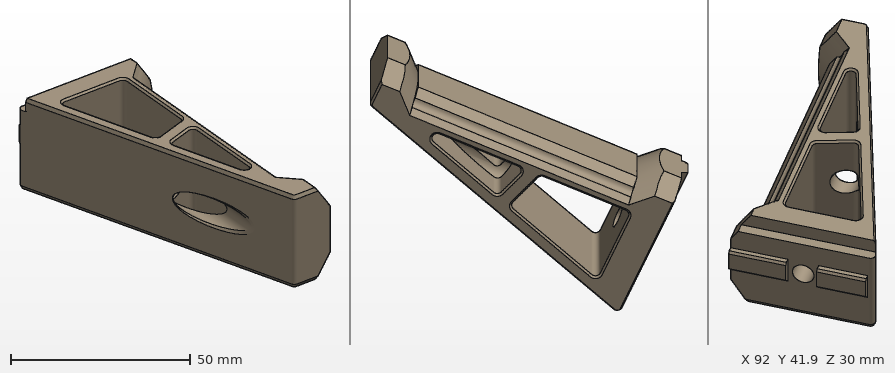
import cadquery as cq
import math

length = 90.0
height = 30.0
mid_z = height / 2
front_left_y = -42.5
front_right_y = -12.5
corner_radius = 1.5
edge_chamfer_height = 1.15
edge_chamfer_inset = 0.55

back_bevel_depth = 5.0
back_bevel_height = 7.5

step_width = 3.0
step_depth = 4.2

saddle_end = 11.5
saddle_crest_y = -4.7
saddle_crease_y = -8.84
crown_crease_y = -9.25
saddle_rim_y = -10.5
saddle_crease_depth = 2.0
ridge_bevel_y = -6.8
ridge_bevel_height = back_bevel_height * (saddle_crest_y - ridge_bevel_y) / back_bevel_depth
ridge_half_height = mid_z - back_bevel_height
groove_sag = 0.4
cutter_back_y = 15.0

wall = 3.88
window_left_x = 10.0
window_back_y = -12.5
web_thickness = 4.5
web_back_x = 40.0
window_radius = 1.5
window_chamfer = 0.6

key_depth = 2.0
key_height = 8.1
key_top_z = 19.2
key_top_chamfer = 0.65
key_spans = [(-16.7, 0.0), (-40.0, -25.7)]
hole_y = -21.2
hole_diameter = 6.3
access_diameter = 8.5
access_chamfer = 0.6

slope = (front_right_y - front_left_y) / length
slope_angle = math.atan(slope)


def front_y(x, inset=0.0):
    """Y of the sloping front at x, moved inward by a normal distance."""
    return front_left_y + slope * x + inset / math.cos(slope_angle)


def make_body():
    """Wedge with rounded front corners and tapered upper and lower edges."""
    def outline(z):
        points = [(0, 0), (0, front_left_y), (length, front_right_y), (length, 0)]
        sketch = cq.Sketch().polygon(points + points[:1])
        sketch = sketch.vertices("not >Y").fillet(corner_radius)
        return cq.Workplane("XY", origin=(0, 0, z)).placeSketch(sketch)

    taper = math.degrees(math.atan(edge_chamfer_inset / edge_chamfer_height))
    upper_z = height - edge_chamfer_height
    core = outline(edge_chamfer_height).extrude(upper_z - edge_chamfer_height)
    top = outline(upper_z).extrude(edge_chamfer_height, taper=taper)
    bottom = top.mirror("XY", (0, 0, mid_z))
    return core.union(top).union(bottom)


def bevel_back(body):
    """Bevel both long back edges over the full length."""
    upper = (
        cq.Workplane("YZ")
        .polyline([(-back_bevel_depth, height), (0, height - back_bevel_height), (0, height)])
        .close()
        .extrude(length)
    )
    return body.cut(upper).cut(upper.mirror("XY", (0, 0, mid_z)))


def cut_saddle(body):
    """Hollow the back: a ridged straight run between two diagonal, crowned ends."""
    crease_z = height - saddle_crease_depth
    lower_crease_z = height - crease_z
    ridge_z = mid_z + ridge_half_height
    shoulder_z = ridge_z + ridge_bevel_height

    def start(crease_y):
        """Profile from the lower back corner up to the lower crease."""
        plane = cq.Workplane("YZ", origin=(saddle_end, 0, 0))
        return plane.moveTo(cutter_back_y, 0).lineTo(saddle_rim_y, 0).lineTo(crease_y, lower_crease_z)

    def finish(wire):
        """Close the profile from the upper crease round the back."""
        return wire.lineTo(saddle_rim_y, height).lineTo(cutter_back_y, height).close()

    groove_mid_y = (ridge_bevel_y + saddle_crease_y) / 2 - groove_sag
    groove_mid_z = (shoulder_z + crease_z) / 2 - groove_sag
    straight = finish(
        start(saddle_crease_y)
        .threePointArc((groove_mid_y, height - groove_mid_z), (ridge_bevel_y, height - shoulder_z))
        .lineTo(saddle_crest_y, height - ridge_z)
        .lineTo(saddle_crest_y, ridge_z)
        .lineTo(ridge_bevel_y, shoulder_z)
        .threePointArc((groove_mid_y, groove_mid_z), (saddle_crease_y, crease_z))
    ).extrude(length - 2 * saddle_end)

    crowned = finish(
        start(crown_crease_y).threePointArc((saddle_crest_y, mid_z), (crown_crease_y, crease_z))
    )
    face = cq.Face.makeFromWires(crowned.wires().val())
    left = cq.Workplane(cq.Solid.extrudeLinear(face, cq.Vector(-saddle_end, saddle_end, 0)))
    right = left.mirror("YZ", (length / 2, 0, 0))
    return body.cut(straight).cut(left).cut(right)


def cut_window(body, points):
    """Cut a rounded window through the height and chamfer both rims."""
    window = cq.Workplane("XY").polyline(points).close().extrude(height)
    window = window.edges("|Z").fillet(window_radius)
    outline = window.faces("<Z").wires().val()
    flared = outline.offset2D(window_chamfer)[0]
    flare = cq.Workplane(
        cq.Solid.makeLoft([flared, outline.translate(cq.Vector(0, 0, window_chamfer))], True)
    )
    return body.cut(window).cut(flare).cut(flare.mirror("XY", (0, 0, mid_z)))


def cut_windows(body):
    """Two windows parted by a web square to the sloping front."""
    half_web_x = web_thickness / 2 / math.cos(slope_angle)

    def web_foot(x_back):
        """Point where a web side starting at x_back meets the inner front wall."""
        x = (x_back + slope * (window_back_y - front_y(0, wall))) / (1 + slope**2)
        return (x, front_y(x, wall))

    left_web_x = web_back_x - half_web_x
    right_web_x = web_back_x + half_web_x
    tip_x = (window_back_y - front_y(0, wall)) / slope
    large = [
        (window_left_x, window_back_y),
        (window_left_x, front_y(window_left_x, wall)),
        web_foot(left_web_x),
        (left_web_x, window_back_y),
    ]
    small = [(right_web_x, window_back_y), web_foot(right_web_x), (tip_x, window_back_y)]
    return cut_window(cut_window(body, large), small)


def cut_step(body):
    """Relieve the top corner of the mounting face."""
    step = cq.Workplane("XY").box(step_width, -front_left_y, step_depth, centered=False)
    return body.cut(step.translate((0, front_left_y, height - step_depth)))


def add_keys(body):
    """Locating keys on the mounting face, bevelled steeply below and lightly above."""
    bottom_z = key_top_z - key_height
    for y_front, y_back in key_spans:
        key = (
            cq.Workplane("XZ", origin=(0, y_back, 0))
            .polyline([
                (0, bottom_z),
                (-key_depth, bottom_z + key_depth),
                (-key_depth, key_top_z - key_top_chamfer),
                (key_top_chamfer - key_depth, key_top_z),
                (0, key_top_z),
            ])
            .close()
            .extrude(y_back - y_front)
        )
        body = body.union(key)
    return body


def cut_screw_path(body):
    """Screw hole in the mounting wall and a wider access bore out through the front."""
    plane = cq.Workplane("YZ").center(hole_y, mid_z)
    screw_hole = plane.circle(hole_diameter / 2).extrude(window_left_x)
    access = plane.workplane(offset=window_left_x).circle(access_diameter / 2).extrude(length)
    body = body.cut(screw_hole).cut(access)
    front_face = cq.selectors.DirectionMinMaxSelector(cq.Vector(slope, -1, 0))
    return body.faces(front_face).edges("%ELLIPSE").chamfer(access_chamfer)


result = make_body()
result = bevel_back(result)
result = cut_saddle(result)
result = cut_windows(result)
result = cut_step(result)
result = add_keys(result)
result = cut_screw_path(result)